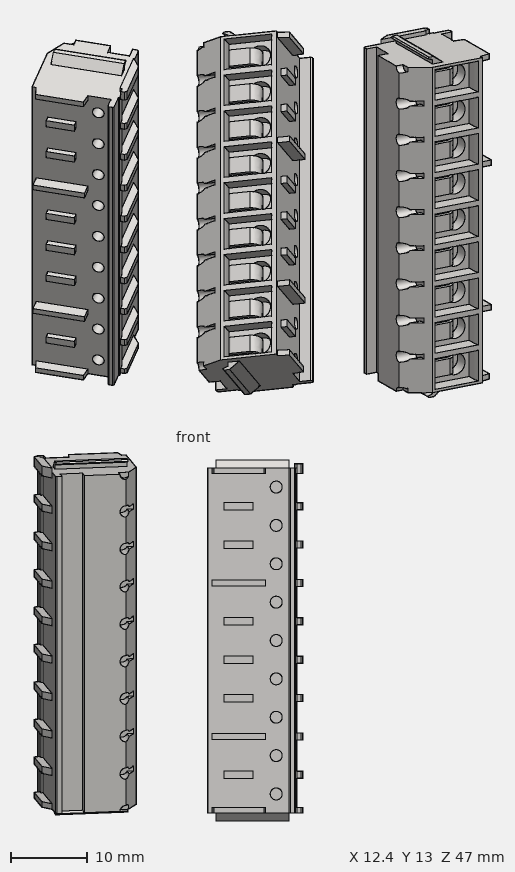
import cadquery as cq
import math

positions = 9
overall_height = 47.0
body_height = 44.95
pitch = body_height / positions
total_depth = 13.0
half_height = body_height / 2

front_face = 1.65
right_face = 11.35
slope_start = 9.2
slope_width = 2.05
shoulder_x = 7.5
rear_step = 11.5
rear_leg_x = 10.5
front_leg_x = 10.6
front_leg_right = 11.45
rail_x = 11.6
rail_start = 2.3
rail_end = 3.55
leg_chamfer = 0.2

long_rib_left = 0.55
long_rib_height = 0.75
long_rib_walls = (3, 7)
short_rib_left = 2.1
short_rib_right = 5.9
short_rib_front = 0.85
short_rib_height = 1.0
end_rib_front = 0.15
end_rib_left_taper = 0.3
end_rib_right_taper = 0.2

test_hole_x = 8.95
test_hole_diameter = 1.55
test_hole_depth = 2.8

pocket_front = 2.45
pocket_rear = 8.7
pocket_height = 4.25
pocket_depth = 2.1
mouth_depth = 0.7
mouth_flare = 0.15
rear_mouth_flare = 0.1
wire_hole_y = 4.55
wire_hole_diameter = 2.95
wire_hole_depth = 1.9

tongue_width = 2.25
tongue_rise = 0.55
tongue_round = 0.45
tongue_bend_y = 5.7
tongue_knee_y = 5.05
tongue_knee_drop = 0.38
tongue_nose_drop = 1.6
tongue_undercut_y = 4.8

groove_radius = 0.75
groove_mouth_width = 0.65
groove_end = 10.15
end_groove_end = 12.0

tab_right = 12.4
tab_front = 2.9
tab_rear = 10.4
tab_slope_end = 8.85
tab_chamfer = 0.3
tab_height = 0.95
end_tab_height = 0.75
top_tab_overhang = 0.55

hook_left = 1.1
hook_right = 10.6
hook_rise = overall_height / 2 - half_height
hook_ramp_start = 7.0
hook_ramp_end = 8.3
hook_neck = 8.55
hook_crest_end = 9.05
hook_tip = 9.25
hook_tip_drop = 0.2
hook_underside = 0.55

overlap = 0.25


def box(x0, x1, y0, y1, z0, z1):
    """Axis-aligned box from its limits."""
    return cq.Workplane("XY").box(x1 - x0, y1 - y0, z1 - z0, centered=False).translate((x0, y0, z0))


def prism(points, z0, z1):
    """Vertical prism over a closed XY outline."""
    return cq.Workplane("XY").workplane(offset=z0).polyline(points).close().extrude(z1 - z0)


def wall_z(index):
    """Height of a dividing wall, counted down from the top end."""
    return half_height - index * pitch


def position_z(index):
    """Mid-height of a terminal position, counted down from the top end."""
    return wall_z(index + 0.5)


def make_housing():
    outline = [
        (0, front_face),
        (front_leg_x, front_face),
        (front_leg_x, leg_chamfer),
        (front_leg_x + leg_chamfer, 0),
        (front_leg_right - leg_chamfer, 0),
        (front_leg_right, leg_chamfer),
        (front_leg_right, rail_start),
        (rail_x, rail_start),
        (rail_x, rail_end),
        (right_face, rail_end),
        (right_face, total_depth - leg_chamfer),
        (right_face - leg_chamfer, total_depth),
        (rear_leg_x, total_depth),
        (rear_leg_x, rear_step),
        (shoulder_x, rear_step),
        (shoulder_x, total_depth),
        (slope_width, total_depth),
        (0, slope_start),
    ]
    return prism(outline, -half_height, half_height)


def make_end_rib(z0):
    rear = front_face + overlap
    outline = [
        (long_rib_left, rear),
        (long_rib_left, front_face),
        (long_rib_left + end_rib_left_taper, end_rib_front),
        (shoulder_x - end_rib_right_taper, end_rib_front),
        (shoulder_x, front_face),
        (shoulder_x, rear),
    ]
    return prism(outline, z0, z0 + long_rib_height)


def make_wall_rib(index):
    rear = front_face + overlap
    z = wall_z(index)
    if index in long_rib_walls:
        half = long_rib_height / 2
        return box(long_rib_left, shoulder_x, 0, rear, z - half, z + half)
    half = short_rib_height / 2
    return box(short_rib_left, short_rib_right, short_rib_front, rear, z - half, z + half)


def make_tab(z0, z1):
    outline = [
        (rail_x, tab_front),
        (tab_right - tab_chamfer, tab_front),
        (tab_right, tab_front + tab_chamfer),
        (tab_right, tab_slope_end),
        (right_face, tab_rear),
        (right_face, rail_end),
        (rail_x, rail_end),
    ]
    return prism(outline, z0, z1)


def make_top_hook():
    """Barbed hook swept along X, with its profile in the YZ plane."""
    profile = [
        (hook_ramp_start, -overlap),
        (hook_ramp_start, 0),
        (hook_ramp_end, hook_rise),
        (hook_crest_end, hook_rise),
        (hook_tip, hook_rise - hook_tip_drop),
        (hook_neck, hook_underside),
        (hook_neck, -overlap),
    ]
    hook = cq.Workplane("YZ").workplane(offset=hook_left).polyline(profile).close()
    return hook.extrude(hook_right - hook_left).translate((0, 0, half_height))


def make_pocket(z):
    """Flared pocket with a round wire hole in its floor."""
    outline = [
        (0, pocket_front - mouth_flare),
        (mouth_depth, pocket_front),
        (pocket_depth, pocket_front),
        (pocket_depth, pocket_rear),
        (mouth_depth, pocket_rear),
        (0, pocket_rear + rear_mouth_flare),
    ]
    pocket = prism(outline, z - pocket_height / 2, z + pocket_height / 2)
    wire_hole = (
        cq.Workplane("YZ")
        .center(wire_hole_y, z)
        .circle(wire_hole_diameter / 2)
        .extrude(pocket_depth + wire_hole_depth)
    )
    return pocket.union(wire_hole)


def make_tongue(z):
    """Raised tongue whose free end curves down into the wire hole."""
    crest = pocket_depth - tongue_rise
    bottom = pocket_depth + wire_hole_depth + overlap
    rear = pocket_rear
    arc_inset = tongue_round * (1 - math.sqrt(0.5))
    free_end = [
        (crest + tongue_knee_drop, tongue_knee_y),
        (crest + tongue_nose_drop, wire_hole_y),
        (bottom, tongue_undercut_y),
    ]
    return (
        cq.Workplane("XY")
        .workplane(offset=z - tongue_width / 2)
        .moveTo(bottom, rear)
        .lineTo(crest + tongue_round, rear)
        .threePointArc((crest + arc_inset, rear - arc_inset), (crest, rear - tongue_round))
        .lineTo(crest, tongue_bend_y)
        .spline(free_end, includeCurrent=True)
        .close()
        .extrude(tongue_width)
    )


def make_groove(z, end):
    """Bore parallel to Y that starts at the rear face."""
    return (
        cq.Workplane("XZ", origin=(slope_width, total_depth, z))
        .circle(groove_radius)
        .extrude(total_depth - end)
    )


def make_test_hole(z):
    return (
        cq.Workplane("XZ", origin=(test_hole_x, front_face + test_hole_depth, z))
        .circle(test_hole_diameter / 2)
        .extrude(test_hole_depth)
    )


result = make_housing()

for index in range(positions):
    z = position_z(index)
    result = result.cut(make_pocket(z)).union(make_tongue(z)).cut(make_test_hole(z))

for index in range(1, positions):
    z = wall_z(index)
    half_mouth = groove_mouth_width / 2
    mouth = box(0, slope_width, groove_end, total_depth, z - half_mouth, z + half_mouth)
    result = result.union(make_wall_rib(index))
    result = result.union(make_tab(z - tab_height / 2, z + tab_height / 2))
    result = result.cut(make_groove(z, groove_end)).cut(mouth)

for z in (-half_height, half_height):
    result = result.cut(make_groove(z, end_groove_end))
result = result.union(make_end_rib(-half_height))
result = result.union(make_end_rib(half_height - long_rib_height))
result = result.union(make_tab(-half_height, -half_height + end_tab_height))
result = result.union(make_tab(half_height - end_tab_height, half_height + top_tab_overhang))
result = result.union(make_top_hook())
result = result.union(make_top_hook().mirror("XY"))